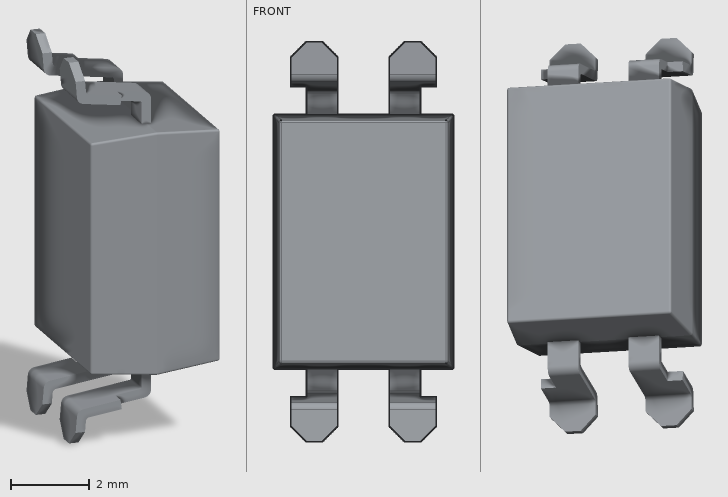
import cadquery as cq
import math

BODY_WIDTH = 4.6
BODY_DEPTH = 3.5
BODY_HEIGHT = 6.5
DRAFT_ANGLE = 5
BODY_EDGE_RADIUS = 0.06

TOTAL_HEIGHT = 10.2
TOTAL_DEPTH = 3.85
LEAD_THICKNESS = 0.25
LEAD_WIDE = 1.2
LEAD_NARROW = 0.81
LEAD_CENTRE_X = 1.25
LEAD_EMBED = 0.41
ARM_ANGLE = 8
FOOT_ANGLE = 85
SHOULDER_Z = 3.96
TIP_REACH = TOTAL_DEPTH - BODY_DEPTH / 2
WIDE_START = 0.83
TIP_CHAMFER = 0.4
BEND_OUTER_RADIUS = 0.2
SHOULDER_INNER_RADIUS = 0.05
HEEL_INNER_RADIUS = 0.1


def tan_deg(angle):
    return math.tan(math.radians(angle))


def body_half(direction):
    """One half of the body, tapering from the parting plane along -Y (+1) or +Y (-1)."""
    plane = cq.Plane(origin=(0, 0, 0), xDir=(1, 0, 0), normal=(0, -direction, 0))
    half = (
        cq.Workplane(plane)
        .rect(BODY_WIDTH, BODY_HEIGHT)
        .extrude(BODY_DEPTH / 2, taper=DRAFT_ANGLE)
    )
    parting_face = ">Y" if direction > 0 else "<Y"
    rounded_edges = f"not(#Y and {parting_face})"
    return half.edges(rounded_edges).fillet(BODY_EDGE_RADIUS)


def mitre_corners(y, z, angle_in, angle_out):
    """Left and right strip corners where the centreline turns at (y, z)."""
    reach = LEAD_THICKNESS / 2 / math.cos(math.radians((angle_out - angle_in) / 2))
    normal = math.radians((angle_in + angle_out) / 2 + 90)
    dy = reach * math.cos(normal)
    dz = reach * math.sin(normal)
    return (y + dy, z + dz), (y - dy, z - dz)


def bent_strip():
    """Full-width stem, arm and foot; profile axes are (distance along -Y, Z)."""
    half_thick = LEAD_THICKNESS / 2
    stem_z = BODY_HEIGHT / 2 - LEAD_EMBED
    tip_z = TOTAL_HEIGHT / 2

    tip_half = half_thick / math.sin(math.radians(FOOT_ANGLE))
    tip_y = TIP_REACH - tip_half

    arm_slope = tan_deg(ARM_ANGLE)
    foot_slope = tan_deg(FOOT_ANGLE)
    heel_y = (SHOULDER_Z - tip_z + foot_slope * tip_y) / (foot_slope - arm_slope)
    heel_z = SHOULDER_Z + arm_slope * heel_y

    shoulder_left, shoulder_right = mitre_corners(0, SHOULDER_Z, 90, ARM_ANGLE)
    heel_left, heel_right = mitre_corners(heel_y, heel_z, ARM_ANGLE, FOOT_ANGLE)
    outline = [
        (-half_thick, stem_z),
        shoulder_left,
        heel_left,
        (tip_y - tip_half, tip_z),
        (tip_y + tip_half, tip_z),
        heel_right,
        shoulder_right,
        (half_thick, stem_z),
    ]

    plane = cq.Plane(origin=(LEAD_CENTRE_X, 0, 0), xDir=(0, -1, 0), normal=(-1, 0, 0))
    strip = cq.Workplane(plane).polyline(outline).close().extrude(LEAD_WIDE / 2, both=True)
    bends = [
        (shoulder_left, BEND_OUTER_RADIUS),
        (shoulder_right, SHOULDER_INNER_RADIUS),
        (heel_left, HEEL_INNER_RADIUS),
        (heel_right, BEND_OUTER_RADIUS),
    ]
    for (distance, z), radius in bends:
        corner = cq.NearestToPointSelector((LEAD_CENTRE_X, -distance, z))
        strip = strip.edges("|X").edges(corner).fillet(radius)
    return strip


def lead():
    """Upper lead on the +X side, with its narrow stem and chamfered tip."""
    strip = bent_strip()
    strip = strip.faces(">Z").edges("|Y").chamfer(TIP_CHAMFER)

    step = LEAD_WIDE - LEAD_NARROW
    cutter_size = TOTAL_HEIGHT / 4
    outer_x = LEAD_CENTRE_X + LEAD_WIDE / 2
    arm_z = SHOULDER_Z + WIDE_START * tan_deg(ARM_ANGLE)
    cutter = (
        cq.Workplane("XY")
        .box(step, cutter_size, cutter_size, centered=(False, False, True))
        .rotate((0, 0, 0), (1, 0, 0), -ARM_ANGLE)
        .translate((outer_x - step, -WIDE_START, arm_z))
    )
    return strip.cut(cutter)


def all_leads():
    right_pair = lead()
    right_pair = right_pair.union(right_pair.mirror("XY"))
    return right_pair.union(right_pair.mirror("YZ"))


body = body_half(1).union(body_half(-1))
result = body.union(all_leads())